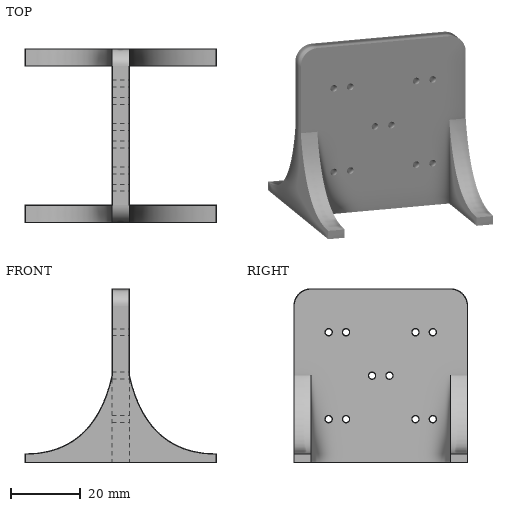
import cadquery as cq

span = 55.0
height = 50.0
width = 50.0
thickness = 5.0
corner_radius = 5.0
toe_height = 2.5
hole_diameter = 2.0

pair_center_y = 12.5
pair_spacing = 5.0

upper_control = (5.85, 9.9)
lower_control = (14.4, toe_height)

plate_face = thickness / 2
leg_top = height / 2
toe_x = span / 2


def make_plate():
    """Upright plate standing on Z = 0 with its two top corners rounded."""
    plate = cq.Workplane("XY").box(thickness, width, height, centered=(True, True, False))
    return plate.edges("|X and >Z").fillet(corner_radius)


def make_leg_pair(y_back):
    """Two mirrored flared legs whose rear side lies at y_back; they extend towards -Y."""
    leg = (
        cq.Workplane("XZ", origin=(0, y_back, 0))
        .moveTo(0, 0)
        .lineTo(toe_x, 0)
        .lineTo(toe_x, toe_height)
        .bezier([(toe_x, toe_height), lower_control, upper_control, (plate_face, leg_top)])
        .lineTo(0, leg_top)
        .close()
        .extrude(thickness)
    )
    return leg.union(leg.mirror("YZ"))


def hole_positions():
    """(Y, Z) hole centers: a pair in the middle and four pairs around it."""
    pair_centers = [(0, height / 2)]
    for side in (-1, 1):
        for level in (height / 4, height * 3 / 4):
            pair_centers.append((side * pair_center_y, level))
    return [(y + side * pair_spacing / 2, z) for y, z in pair_centers for side in (-1, 1)]


result = make_plate()
for leg_back in (width / 2, thickness - width / 2):
    result = result.union(make_leg_pair(leg_back))

holes = (
    cq.Workplane("YZ", origin=(-plate_face, 0, 0))
    .pushPoints(hole_positions())
    .circle(hole_diameter / 2)
    .extrude(thickness)
)
result = result.cut(holes)